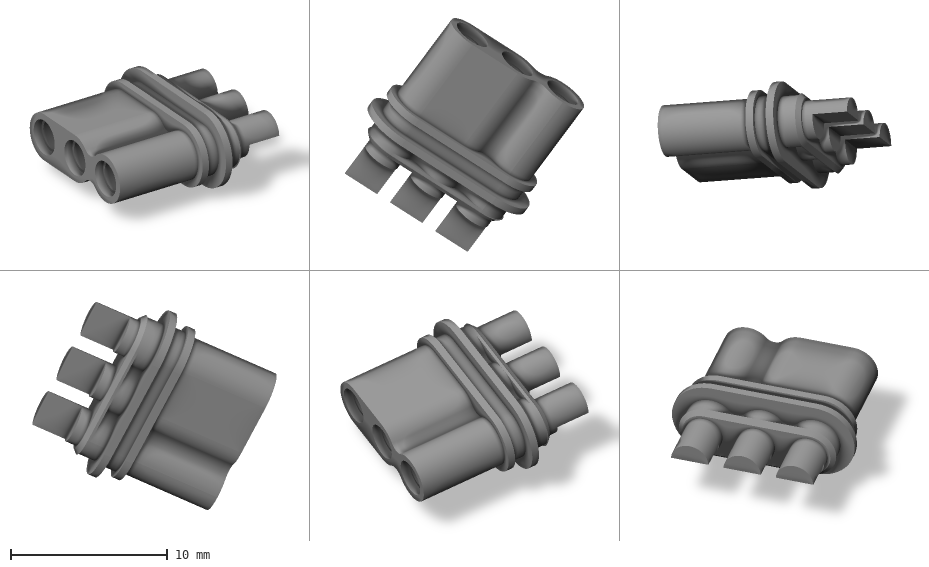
import cadquery as cq
import math


PITCH = 3.5
CONTACT_X = [-PITCH, 0.0, PITCH]
GAP_X = [-PITCH / 2, PITCH / 2]

BARREL_RADIUS = 1.65
FRONT_SCALLOP_RADIUS = 0.75
REAR_SCALLOP_RADIUS = 0.65
FRONT_FLANGE_RADIUS = 2.15
NECK_RADIUS = 1.75
REAR_FLANGE_RADIUS = 2.6
LIP_RADIUS = 1.75
LIP_TAPER_ANGLE = 45.0

FRONT_FLANGE_Y = 6.0
NECK_Y = 6.5
REAR_FLANGE_Y = 7.5
REAR_BARREL_Y = 8.0
LIP_BAND_Y = 9.0
LIP_Y = 9.2
HOUSING_END_Y = 9.5

SHANK_DIAMETER = 2.4
TAIL_DIAMETER = 2.5
SOCKET_DIAMETER = 2.0
CONTACT_FRONT_Y = 0.6
SOCKET_DEPTH = 6.0
SOCKET_TIP_ANGLE = 118.0
TAIL_CUT_Y = 10.2
TAIL_END_Y = 12.5
TAIL_CUT_Z = 0.05


def section_plane(y):
    """Workplane at station y with local axes along X and Z; its normal points to -Y."""
    return cq.Workplane("XZ", origin=(0, y, 0))


def obround(radius, y_start, y_end, taper_angle=0):
    """Obround slab around the whole contact row, narrowing towards +Y by the taper angle."""
    length = CONTACT_X[-1] - CONTACT_X[0] + 2 * radius
    return section_plane(y_start).slot2D(length, 2 * radius).extrude(y_start - y_end, taper=taper_angle)


def scalloped_barrel(gap_centers, scallop_radius, y_start, y_end):
    """Barrel section waisted above and below at each gap centre.

    Each waist is a concave arc that blends tangentially into the barrels on both sides.
    """
    half_pitch = PITCH / 2
    reach = BARREL_RADIUS + scallop_radius
    waist_z = math.sqrt(reach**2 - half_pitch**2) - scallop_radius
    blend_angle = math.asin(half_pitch / reach)
    blend_x = BARREL_RADIUS * math.sin(blend_angle)
    blend_z = BARREL_RADIUS * math.cos(blend_angle)
    shoulder_x = BARREL_RADIUS * math.sin(blend_angle / 2)
    shoulder_z = BARREL_RADIUS * math.cos(blend_angle / 2)

    outline = section_plane(y_start).moveTo(CONTACT_X[0], BARREL_RADIUS)
    for direction in (1, -1):
        for gap in GAP_X[::direction]:
            near = gap - direction * half_pitch
            far = gap + direction * half_pitch
            crown = (far, direction * BARREL_RADIUS)
            if gap in gap_centers:
                near_shoulder = (near + direction * shoulder_x, direction * shoulder_z)
                near_blend = (near + direction * blend_x, direction * blend_z)
                far_blend = (far - direction * blend_x, direction * blend_z)
                far_shoulder = (far - direction * shoulder_x, direction * shoulder_z)
                outline = (
                    outline
                    .threePointArc(near_shoulder, near_blend)
                    .threePointArc((gap, direction * waist_z), far_blend)
                    .threePointArc(far_shoulder, crown)
                )
            else:
                outline = outline.lineTo(*crown)
        end_x = direction * CONTACT_X[-1]
        outline = outline.threePointArc(
            (end_x + direction * BARREL_RADIUS, 0),
            (end_x, -direction * BARREL_RADIUS),
        )
    return outline.close().extrude(y_start - y_end)


def cylinders(diameter, y_start, y_end):
    """One cylinder on each contact axis."""
    centers = [(x, 0) for x in CONTACT_X]
    return section_plane(y_start).pushPoints(centers).circle(diameter / 2).extrude(y_start - y_end)


def make_housing():
    barrel = scalloped_barrel(GAP_X[1:], FRONT_SCALLOP_RADIUS, 0, FRONT_FLANGE_Y)
    rear_barrel = scalloped_barrel(GAP_X, REAR_SCALLOP_RADIUS, REAR_BARREL_Y, LIP_BAND_Y)
    lip = obround(LIP_RADIUS, LIP_Y, HOUSING_END_Y, LIP_TAPER_ANGLE)

    housing = (
        barrel
        .union(obround(FRONT_FLANGE_RADIUS, FRONT_FLANGE_Y, NECK_Y))
        .union(obround(NECK_RADIUS, NECK_Y, REAR_FLANGE_Y))
        .union(obround(REAR_FLANGE_RADIUS, REAR_FLANGE_Y, REAR_BARREL_Y))
        .union(rear_barrel)
        .union(obround(BARREL_RADIUS, LIP_BAND_Y, LIP_Y))
        .union(lip)
    )
    return housing.cut(cylinders(SHANK_DIAMETER, 0, HOUSING_END_Y))


def make_contact(x):
    """Contact with a drilled socket at the front and a half-round solder tail at the rear."""
    shank_radius = SHANK_DIAMETER / 2
    tail_radius = TAIL_DIAMETER / 2
    socket_radius = SOCKET_DIAMETER / 2
    socket_end_y = CONTACT_FRONT_Y + SOCKET_DEPTH
    socket_tip_y = socket_end_y + socket_radius / math.tan(math.radians(SOCKET_TIP_ANGLE / 2))

    body = (
        cq.Workplane("XY")
        .moveTo(0, socket_tip_y)
        .lineTo(socket_radius, socket_end_y)
        .lineTo(socket_radius, CONTACT_FRONT_Y)
        .lineTo(shank_radius, CONTACT_FRONT_Y)
        .lineTo(shank_radius, HOUSING_END_Y)
        .lineTo(tail_radius, HOUSING_END_Y)
        .lineTo(tail_radius, TAIL_END_Y)
        .lineTo(0, TAIL_END_Y)
        .close()
        .revolve(360, (0, 0, 0), (0, 1, 0))
    )

    cut_length = TAIL_END_Y - TAIL_CUT_Y
    tail_cut = (
        cq.Workplane("XY", origin=(0, TAIL_CUT_Y + cut_length / 2, TAIL_CUT_Z))
        .rect(TAIL_DIAMETER, cut_length)
        .extrude(-TAIL_DIAMETER)
    )
    return body.cut(tail_cut).translate((x, 0, 0))


housing = make_housing()
contacts = [make_contact(x) for x in CONTACT_X]

result = cq.Compound.makeCompound([housing.val(), *[contact.val() for contact in contacts]])